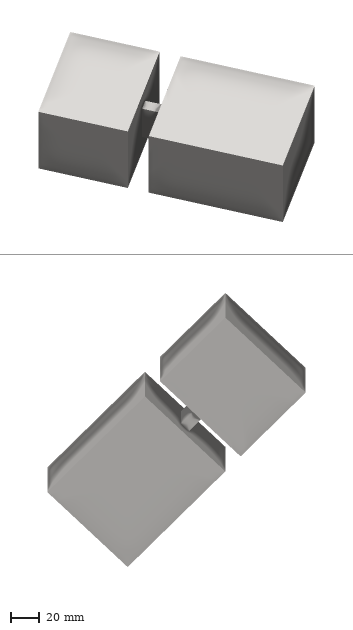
import cadquery as cq

block_width = 80.0
block_height = 60.0

overall_length = 181.57
small_block_length = 66.45
large_block_length = 99.55
neck_length = overall_length - small_block_length - large_block_length

neck_width = 8.0
neck_height = 30.0
neck_rise = 1.0


def box_along_x(start_x, length, width, height, center_z=0.0):
    """Box reaching from start_x in +X, centred on Y = 0 and Z = center_z."""
    box = cq.Workplane("XY").box(length, width, height)
    return box.translate((start_x + length / 2, 0, center_z))


neck_start = small_block_length
large_block_start = neck_start + neck_length

small_block = box_along_x(0, small_block_length, block_width, block_height)
neck = box_along_x(neck_start, neck_length, neck_width, neck_height, neck_rise)
large_block = box_along_x(large_block_start, large_block_length, block_width, block_height)

result = small_block.union(neck).union(large_block)